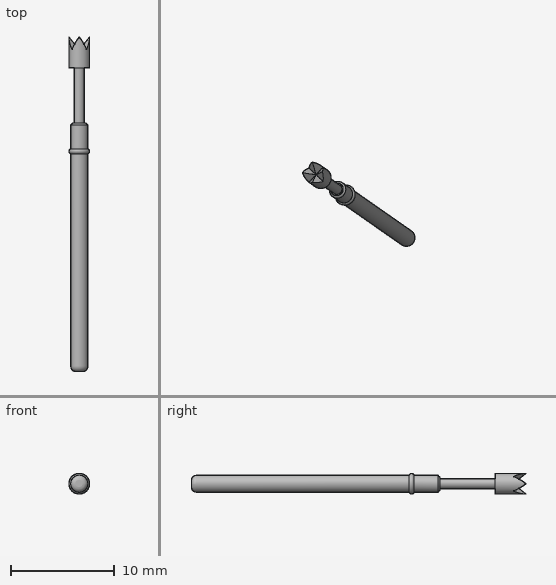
import cadquery as cq
import math

total_length = 32.3

barrel_radius = 0.825
barrel_length = 24.0
mouth_chamfer = 0.2
tail_fillet = 0.475

ring_radius = 1.0
ring_position = 21.25
ring_half_width = 0.25

shaft_radius = 0.5
head_radius = 1.0
head_length = 3.0

groove_angle = 60.0
groove_directions = (45.0, 135.0)
groove_slope = 1 / math.tan(math.radians(groove_angle / 2))
tip_offset = head_radius * math.sin(math.radians(45.0))
groove_depth = tip_offset * groove_slope


def cylinder(radius, start, end):
    """Round bar along Y from start to end."""
    return cq.Workplane("XZ", origin=(0, start, 0)).circle(radius).extrude(start - end)


def make_barrel():
    """Barrel with a rounded closed end and a chamfered mouth."""
    barrel = cylinder(barrel_radius, 0, barrel_length)
    barrel = barrel.faces("<Y").edges().fillet(tail_fillet)
    return barrel.faces(">Y").edges().chamfer(mouth_chamfer)


def make_ring():
    """Round bead whose crest reaches the ring radius."""
    return (
        cq.Workplane("YZ")
        .moveTo(ring_position - ring_half_width, barrel_radius)
        .threePointArc(
            (ring_position, ring_radius),
            (ring_position + ring_half_width, barrel_radius),
        )
        .lineTo(ring_position + ring_half_width, 0)
        .lineTo(ring_position - ring_half_width, 0)
        .close()
        .revolve(360, (0, 0, 0), (1, 0, 0))
    )


def make_groove(direction):
    """V-shaped cutter across the head, turned about the Y axis."""
    overshoot = head_radius
    top = total_length + overshoot
    half_width = (groove_depth + overshoot) / groove_slope
    return (
        cq.Workplane("XY")
        .moveTo(0, total_length - groove_depth)
        .lineTo(half_width, top)
        .lineTo(-half_width, top)
        .close()
        .extrude(2 * head_radius, both=True)
        .rotate((0, 0, 0), (0, 1, 0), direction)
    )


def make_plunger():
    """Shaft carrying the four-pointed crown head."""
    head_start = total_length - head_length
    head = cylinder(head_radius, head_start, total_length)
    for direction in groove_directions:
        head = head.cut(make_groove(direction))
    shaft = cylinder(shaft_radius, ring_position, head_start)
    return head.union(shaft)


result = make_barrel().union(make_ring()).union(make_plunger())